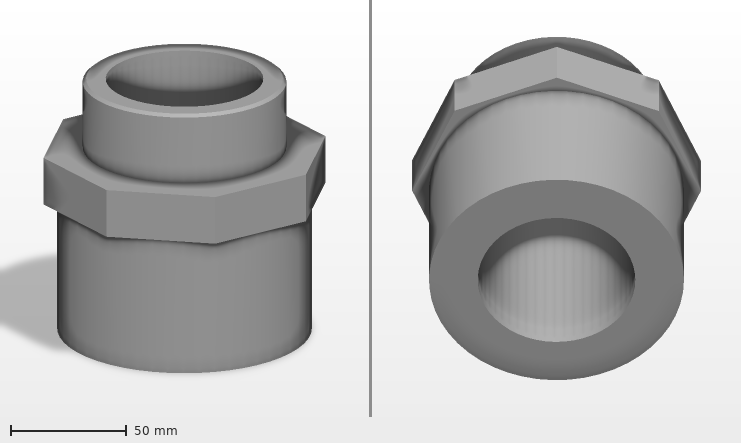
import cadquery as cq
import math

collar_across_flats = 115.0
collar_height = 21.5
collar_sides = 8

socket_diameter = 110.0
socket_height = 62.0

spigot_diameter = 87.9
spigot_height = 31.5
spigot_chamfer_width = 1.5
spigot_chamfer_height = 1.25

bore_diameter = 68.0

collar_top = socket_height + collar_height
total_height = collar_top + spigot_height


def make_socket():
    return cq.Workplane("XY").circle(socket_diameter / 2).extrude(socket_height)


def make_collar():
    half_side_angle = math.pi / collar_sides
    across_corners = collar_across_flats / math.cos(half_side_angle)
    collar = (
        cq.Workplane("XY")
        .workplane(offset=socket_height)
        .polygon(collar_sides, across_corners)
        .extrude(collar_height)
    )
    return collar.rotate((0, 0, 0), (0, 0, 1), math.degrees(half_side_angle))


def make_spigot():
    radius = spigot_diameter / 2
    profile = (
        cq.Workplane("XZ")
        .moveTo(0, collar_top)
        .lineTo(radius, collar_top)
        .lineTo(radius, total_height - spigot_chamfer_height)
        .lineTo(radius - spigot_chamfer_width, total_height)
        .lineTo(0, total_height)
        .close()
    )
    return profile.revolve(360, (0, 0, 0), (0, 1, 0))


def make_bore():
    return cq.Workplane("XY").circle(bore_diameter / 2).extrude(total_height)


result = make_socket().union(make_collar()).union(make_spigot()).cut(make_bore())